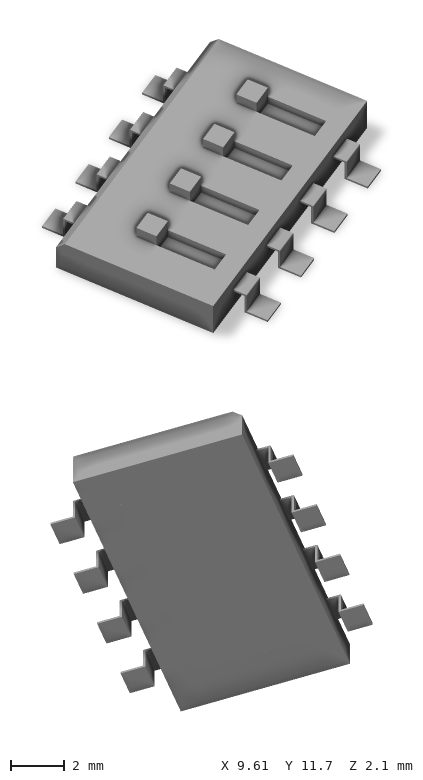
import cadquery as cq


overall_width = 9.61
overall_height = 2.1

position_count = 4
position_pitch = 2.54
position_span = (position_count - 1) * position_pitch
position_ys = [i * position_pitch - position_span / 2 for i in range(position_count)]

lead_width = 1.01
lead_thickness = 0.095
lead_foot_length = 0.985
lead_rise = 0.91
lead_corner_radius = 0.04

housing_width = 6.7
housing_length = 11.72
knob_projection = 0.5
housing_chamfer = 0.38
housing_bottom = lead_thickness
housing_top = overall_height - knob_projection
housing_height = housing_top - housing_bottom

slot_start = -0.83
slot_length = 3.34
slot_width = 0.86
slot_depth = 0.38
slot_center = slot_start + slot_length / 2

base_span = position_span + slot_width
base_height = housing_height - slot_depth
base_top = housing_bottom + base_height
knob_size = slot_width
knob_center = slot_start + knob_size / 2
knob_height = overall_height - base_top


def block(size_x, size_y, height, center_x, center_y, bottom):
    """Upright box placed by the centre of its underside."""
    return (
        cq.Workplane("XY")
        .box(size_x, size_y, height, centered=(True, True, False))
        .translate((center_x, center_y, bottom))
    )


def actuator_base():
    """Block that fills the housing recess; its top face is the floor of the slots."""
    return block(slot_length, base_span, base_height, slot_center, 0, housing_bottom)


def make_housing():
    body = block(housing_width, housing_length, housing_height, 0, 0, housing_bottom)
    body = body.faces(">Z").edges("<X").chamfer(housing_chamfer)
    body = body.cut(actuator_base())
    for y in position_ys:
        body = body.cut(block(slot_length, slot_width, slot_depth, slot_center, y, base_top))
    return body


def make_actuator():
    body = actuator_base()
    for y in position_ys:
        body = body.union(block(knob_size, knob_size, knob_height, knob_center, y, base_top))
    return body


def make_lead(side, y):
    """Gull-wing lead butted against the housing wall; side is -1 for -X and +1 for +X."""
    wall = side * housing_width / 2
    tip = side * overall_width / 2
    upright_inner = tip - side * lead_foot_length
    upright_outer = upright_inner + side * lead_thickness
    shoulder_top = lead_thickness + lead_rise
    shoulder_bottom = shoulder_top - lead_thickness
    lead = (
        cq.Workplane("XZ", origin=(0, y, 0))
        .moveTo(tip, 0)
        .lineTo(tip, lead_thickness)
        .lineTo(upright_outer, lead_thickness)
        .lineTo(upright_outer, shoulder_top)
        .lineTo(wall, shoulder_top)
        .lineTo(wall, shoulder_bottom)
        .lineTo(upright_inner, shoulder_bottom)
        .lineTo(upright_inner, 0)
        .close()
        .extrude(lead_width / 2, both=True)
    )
    shoulder_corner = cq.selectors.NearestToPointSelector((upright_outer, y, shoulder_top))
    return lead.edges("|Y").edges(shoulder_corner).fillet(lead_corner_radius)


housing = make_housing()
actuator = make_actuator()
leads = [make_lead(side, y) for side in (-1, 1) for y in position_ys]

result = cq.Compound.makeCompound(
    [housing.val(), actuator.val(), *[lead.val() for lead in leads]]
)